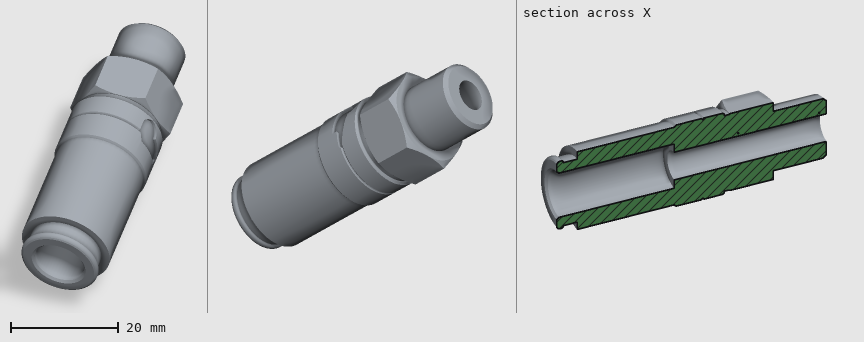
import cadquery as cq
import math

length = 55.5
collar_end = 1.45
release_neck_end = 4.2
sleeve_start = 24.15
groove_centre = 30.0
sleeve_end = 34.5
hex_start = 35.45
hex_end = 44.55

collar_radius = 7.5
release_neck_radius = 7.0
body_radius = 8.6
sleeve_radius = 9.0
inner_neck_radius = 8.4
spigot_radius = 6.6

collar_back_round = 0.5
collar_crest = collar_end - collar_back_round
collar_lip_radius = 6.95
collar_lip_edge_radius = 7.2
collar_lip_length = 0.15
collar_bulge = (7.45, 0.5)
sleeve_chamfer = 0.4
groove_depth = 0.3
groove_half_width = 0.3
spigot_chamfer = 0.7

hex_corner_diameter = 19.65
hex_end_radius = 8.5
hex_chamfer_length = 0.85

socket_radius = 4.85
socket_chamfer = 0.45
socket_depth = sleeve_start
through_radius = 3.0

recess_axis_angle = 22.0
recess_bottom = 28.3
recess_step = 29.4
recess_shelf = 31.2
recess_tail_top = 30.25
recess_top = 33.9
recess_tail_angle = -22.0
recess_bottom_corner_angle = 40.6
recess_side_angle = 49.0
recess_side_start = 30.25
recess_side_end = 32.45
recess_crown_angle = 37.0
recess_fall_angle = 20.0
recess_fall_end = 31.75
recess_crown_lead = (45.0, 33.3)
recess_fall_middle = (27.0, 33.35)


def revolve_outline(points):
    """Revolve a closed (radius, y) outline about the Y axis."""
    return cq.Workplane("XY").polyline(points).close().revolve(360, (0, 0), (0, 1))


def cylinder(radius, start, end):
    """Solid cylinder on the Y axis between two stations."""
    base = cq.Workplane("XZ", origin=(0, start, 0))
    return base.circle(radius).extrude(start - end)


def make_collar():
    """Rounded collar with a short conical lip around its front face."""
    return (
        cq.Workplane("XY")
        .lineTo(collar_lip_radius, 0)
        .lineTo(collar_lip_edge_radius, collar_lip_length)
        .threePointArc(collar_bulge, (collar_radius, collar_crest))
        .radiusArc((collar_radius - collar_back_round, collar_end), -collar_back_round)
        .lineTo(0, collar_end)
        .close()
        .revolve(360, (0, 0), (0, 1))
    )


def make_sleeve():
    sleeve = cylinder(sleeve_radius, sleeve_start, sleeve_end).edges().chamfer(sleeve_chamfer)
    groove = revolve_outline([
        (sleeve_radius - groove_depth, groove_centre),
        (sleeve_radius, groove_centre - groove_half_width),
        (sleeve_radius, groove_centre + groove_half_width),
    ])
    return sleeve.cut(groove)


def make_hexagon():
    prism = cq.Workplane("XZ", origin=(0, hex_start, 0))
    prism = prism.polygon(6, hex_corner_diameter).extrude(hex_start - hex_end)
    corner_radius = hex_corner_diameter / 2
    envelope = revolve_outline([
        (0, hex_start),
        (hex_end_radius, hex_start),
        (corner_radius, hex_start + hex_chamfer_length),
        (corner_radius, hex_end - hex_chamfer_length),
        (hex_end_radius, hex_end),
        (0, hex_end),
    ])
    return prism.intersect(envelope)


def make_recess():
    """Stepped recess that leaves a round floor at the inner neck radius."""
    axis = math.radians(recess_axis_angle)
    normal = (math.cos(axis), 0, math.sin(axis))
    across = (-math.sin(axis), 0, math.cos(axis))

    def on_sleeve(angle, y):
        """Point of the recess edge, as an offset across the recess axis and a Y station."""
        return (sleeve_radius * math.sin(math.radians(angle) - axis), -y)

    plane = cq.Plane(origin=(0, 0, 0), xDir=across, normal=normal)
    cutter = (
        cq.Workplane(plane)
        .moveTo(*on_sleeve(recess_bottom_corner_angle, recess_bottom))
        .lineTo(*on_sleeve(recess_side_angle, recess_side_start))
        .lineTo(*on_sleeve(recess_side_angle, recess_side_end))
        .threePointArc(on_sleeve(*recess_crown_lead), on_sleeve(recess_crown_angle, recess_top))
        .threePointArc(on_sleeve(*recess_fall_middle), on_sleeve(recess_fall_angle, recess_fall_end))
        .lineTo(*on_sleeve(0, recess_shelf))
        .lineTo(*on_sleeve(recess_tail_angle, recess_tail_top))
        .lineTo(*on_sleeve(recess_tail_angle, recess_step))
        .lineTo(*on_sleeve(0, recess_step))
        .lineTo(*on_sleeve(0, recess_bottom))
        .close()
        .extrude(2 * sleeve_radius)
    )
    return cutter.cut(cylinder(inner_neck_radius, sleeve_start, sleeve_end))


def make_bore():
    mouth_radius = socket_radius + socket_chamfer
    return revolve_outline([
        (0, 0),
        (mouth_radius, 0),
        (socket_radius, socket_chamfer),
        (socket_radius, socket_depth),
        (through_radius, socket_depth),
        (through_radius, length),
        (0, length),
    ])


spigot = cylinder(spigot_radius, hex_end, length).edges(">Y").chamfer(spigot_chamfer)

result = (
    make_collar()
    .union(cylinder(release_neck_radius, collar_end, release_neck_end))
    .union(cylinder(body_radius, release_neck_end, sleeve_start))
    .union(make_sleeve().cut(make_recess()))
    .union(cylinder(inner_neck_radius, sleeve_end, hex_start))
    .union(make_hexagon())
    .union(spigot)
    .cut(make_bore())
)